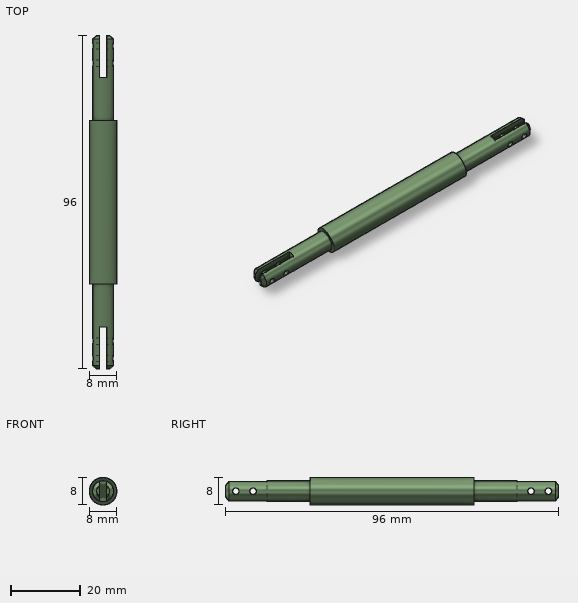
import cadquery as cq

total_length = 96.0
body_diameter = 8.0
shank_diameter = 6.0
shank_length = 24.4
tip_diameter = 3.7
tip_chamfer_length = 1.0
slot_width = 2.0
slot_depth = 12.0
pin_hole_diameter = 1.8
pin_hole_offsets = (3.0, 8.0)

half_length = total_length / 2
body_length = total_length - 2 * shank_length


def stepped_shaft():
    """Body with a thinner shank at each end, tapering at the tips, as one turned profile."""
    half_body = body_length / 2
    chamfer_start = half_length - tip_chamfer_length
    profile = [
        (0, -half_length),
        (tip_diameter / 2, -half_length),
        (shank_diameter / 2, -chamfer_start),
        (shank_diameter / 2, -half_body),
        (body_diameter / 2, -half_body),
        (body_diameter / 2, half_body),
        (shank_diameter / 2, half_body),
        (shank_diameter / 2, chamfer_start),
        (tip_diameter / 2, half_length),
        (0, half_length),
    ]
    return cq.Workplane("XY").polyline(profile).close().revolve(360, (0, 0), (0, 1))


def tip_slot(end):
    """Slot open at one tip and through the full height; end is -1 or +1."""
    centre_y = end * (half_length - slot_depth / 2)
    slot = cq.Workplane("XY").box(slot_width, slot_depth, body_diameter)
    return slot.translate((0, centre_y, 0))


def pin_holes(end):
    """Cross holes along X through both prongs of one tip."""
    centres = [(end * (half_length - offset), 0) for offset in pin_hole_offsets]
    holes = cq.Workplane("YZ").pushPoints(centres).circle(pin_hole_diameter / 2)
    return holes.extrude(body_diameter, both=True)


shaft = stepped_shaft()

for end in (-1, 1):
    shaft = shaft.cut(tip_slot(end)).cut(pin_holes(end))

result = shaft